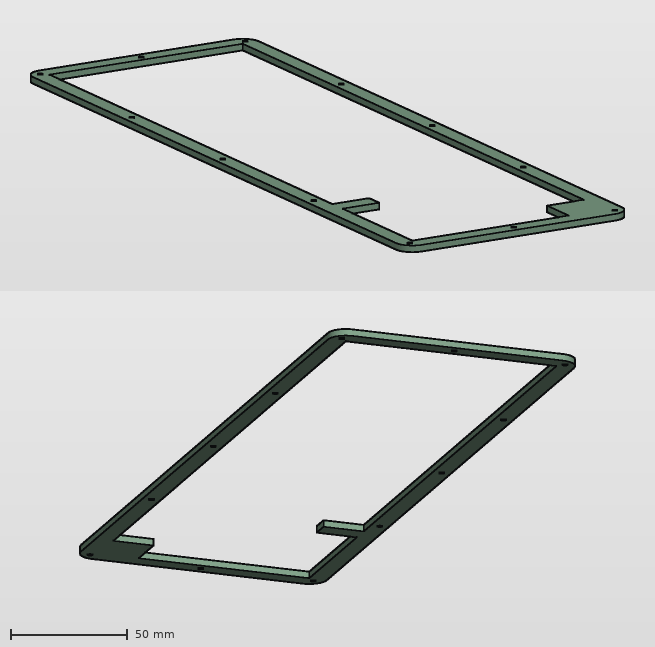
import cadquery as cq

length = 322.0
width = 112.3
thickness = 3.0
rail_width = 8.0
corner_radius = 8.0

pad_size = 18.5

tab_width = 8.7
tab_length = 18.5
tab_center_x = 89.8

hole_diameter = 2.2
corner_hole_inset = 5.0
long_rail_hole_pitch = 76.5

opening_x = length / 2 - rail_width
opening_y = width / 2 - rail_width


def make_frame():
    """Rounded rectangular plate with a sharp-cornered opening."""
    plate = cq.Workplane("XY").rect(length, width).extrude(thickness)
    plate = plate.edges("|Z").fillet(corner_radius)
    opening = cq.Workplane("XY").rect(2 * opening_x, 2 * opening_y).extrude(thickness)
    return plate.cut(opening)


def make_block(x_min, x_max, y_min, y_max):
    """Full-thickness rectangular block between the given limits."""
    block = cq.Workplane("XY").box(x_max - x_min, y_max - y_min, thickness, centered=False)
    return block.translate((x_min, y_min, 0))


def hole_positions():
    """Hole centers: four corners, short-rail middles and three per long rail."""
    corner_x = length / 2 - corner_hole_inset
    corner_y = width / 2 - corner_hole_inset
    rail_x = (length - rail_width) / 2
    rail_y = (width - rail_width) / 2
    points = []
    for side in (-1, 1):
        points += [(-corner_x, side * corner_y), (corner_x, side * corner_y)]
        points.append((side * rail_x, 0))
        points += [(step * long_rail_hole_pitch, side * rail_y) for step in (-1, 0, 1)]
    return points


overlap = rail_width / 2
pad = make_block(
    opening_x - pad_size, opening_x + overlap,
    opening_y - pad_size, opening_y + overlap,
)
tab = make_block(
    tab_center_x - tab_width / 2, tab_center_x + tab_width / 2,
    -opening_y - overlap, -opening_y + tab_length,
)
holes = cq.Workplane("XY").pushPoints(hole_positions()).circle(hole_diameter / 2).extrude(thickness)

result = make_frame().union(pad).union(tab).cut(holes)